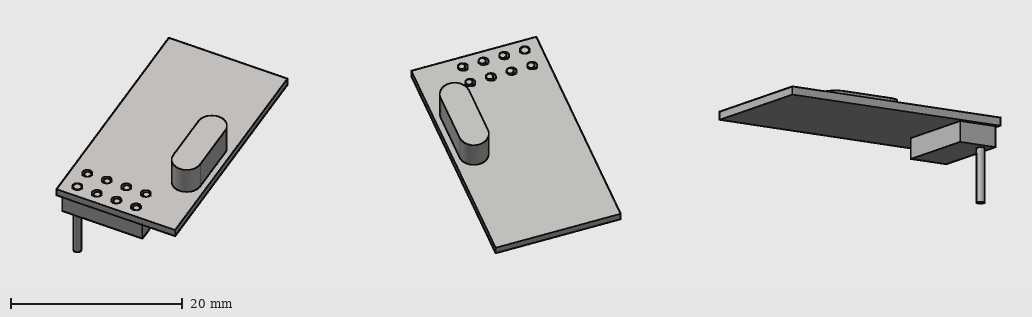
import cadquery as cq

board_width = 15.5
board_length = 29.0
board_thickness = 1.0
total_height = 13.5

can_width = 3.5
can_length = 10.0
can_height = 3.5
can_center_x = 12.95
can_center_y = 11.22

header_width = 10.5
header_length = 4.95
header_height = 2.5
header_left = 0.58
header_front = 0.3

column_count = 4
row_count = 2
pin_pitch = 2.55
first_pin_x = 1.97
first_pin_y = 1.48
hole_diameter = 1.2
long_pin_diameter = 1.0
short_pin_diameter = 0.8
short_pin_shift_x = 0.12
short_pin_shift_y = -0.12

header_bottom = -board_thickness - header_height
part_bottom = can_height - total_height


def box_from_corner(width, length, height, x, y, z):
    return cq.Workplane("XY").box(width, length, height, centered=False).translate((x, y, z))


def cylinder(diameter, x, y, bottom, top):
    return cq.Workplane("XY", origin=(x, y, bottom)).circle(diameter / 2).extrude(top - bottom)


board = box_from_corner(board_width, board_length, board_thickness, 0, 0, -board_thickness)
header = box_from_corner(
    header_width, header_length, header_height, header_left, header_front, header_bottom
)
can = (
    cq.Workplane("XY", origin=(can_center_x, can_center_y, 0))
    .slot2D(can_length, can_width, 90)
    .extrude(can_height)
)
result = board.union(header).union(can)

for column in range(column_count):
    for row in range(row_count):
        x = first_pin_x + column * pin_pitch
        y = first_pin_y + row * pin_pitch
        result = result.cut(cylinder(hole_diameter, x, y, -board_thickness, 0))
        if column == 0 and row == 0:
            pin = cylinder(long_pin_diameter, x, y, part_bottom, 0)
        else:
            pin = cylinder(
                short_pin_diameter, x + short_pin_shift_x, y + short_pin_shift_y, -board_thickness, 0
            )
        result = result.union(pin)